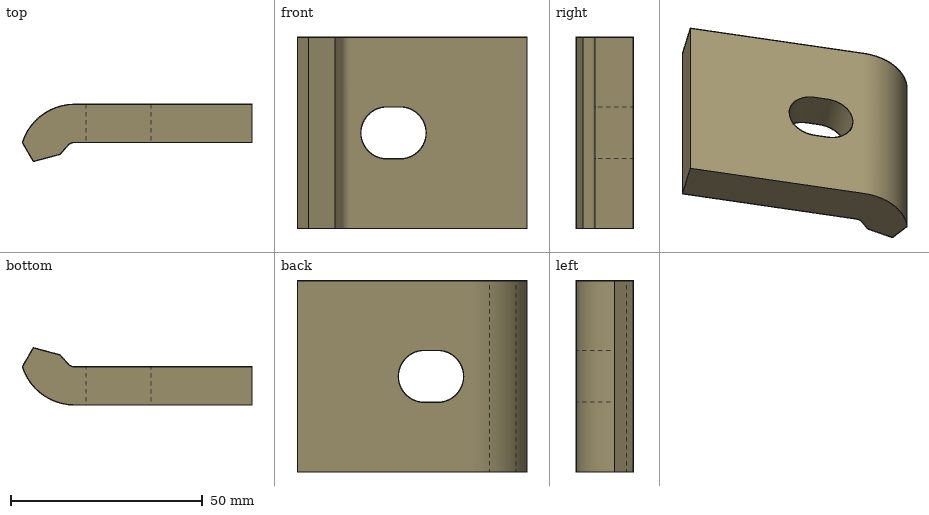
import cadquery as cq
import math

length = 60.0
depth = 15.0
height = 50.0
plate_thickness = 10.0

bend_x = 13.7
heel_angle = 60.0
toe_angle = 15.0
toe_end_x = 9.85
throat_end_x = 12.2
root_radius = 2.5

slot_left = 16.6
slot_length = 17.0
slot_width = 13.5


def tangent(angle):
    return math.tan(math.radians(angle))


plate_front = depth - plate_thickness

bend_radius = (bend_x**2 + plate_thickness**2) / (2 * plate_thickness)
bend_half_angle = math.atan2(plate_thickness, bend_x)
bend_mid = (
    bend_x - bend_radius * math.sin(bend_half_angle),
    depth - bend_radius * (1 - math.cos(bend_half_angle)),
)

tip_x = plate_front / tangent(heel_angle)
toe_end_y = (toe_end_x - tip_x) * tangent(toe_angle)



def root_point(angle):
    return (
        bend_x - root_radius * math.sin(angle),
        plate_front - root_radius * (1 - math.cos(angle)),
    )


root_angle = math.asin((bend_x - throat_end_x) / root_radius)

profile = (
    cq.Workplane("XY", origin=(0, 0, -height / 2))
    .moveTo(tip_x, 0)
    .lineTo(toe_end_x, toe_end_y)
    .lineTo(*root_point(root_angle))
    .threePointArc(root_point(root_angle / 2), (bend_x, plate_front))
    .lineTo(length, plate_front)
    .lineTo(length, depth)
    .lineTo(bend_x, depth)
    .threePointArc(bend_mid, (0, plate_front))
    .close()
)
body = profile.extrude(height)

slot = (
    cq.Workplane("XZ")
    .center(slot_left + slot_length / 2, 0)
    .slot2D(slot_length, slot_width)
    .extrude(-depth)
)

result = body.cut(slot)